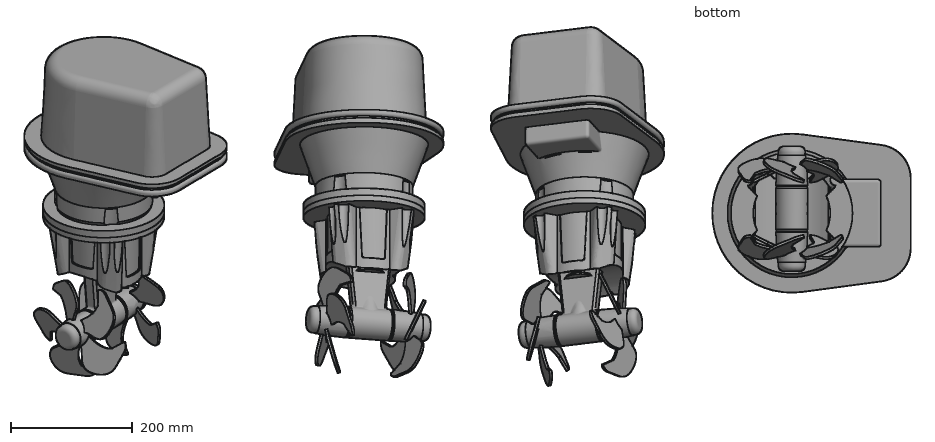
import cadquery as cq
import math


hood_top = 469.5
rim_top = 327.5
rim_bottom = 305.5
cone_bottom = 234.5
ring_top = 202.0
ring_split = 190.0
ring_bottom = 180.5

rim_length = 326.5
rim_width = 261.5
nose_radius = rim_width / 2
back_x = rim_length - nose_radius
corner_radius = 55.5
side_angle = math.radians(7.6)
hood_inset = 28.0
hood_draft = 3.0
hood_top_fillet = 20.0
rim_edge_height = 4.5
rim_fillet = 5.0

cone_top_radius = 105.5
collar_radius = 160.5 / 2
collar_chamfer_height = 5.0
collar_chamfer_width = 2.0
pod_back_x = 146.5
pod_half_width = 55.5
pod_bottom = 274.5
pod_fillet = 5.5
pod_cone_fillet = 3.0
notch_distance = 98.0
notch_bottom_radius = 22.0
notch_top_radius = 20.5
notch_top = cone_bottom - 2.0
ring_radius = 200 / 2

core_radius = 63.5
lobe_half_width = 20.0
lobe_top_reach = 92.0
lobe_bottom_reach = 75.5
lobe_top_round = 14.5
lobe_bottom_round = 12.0
lobe_bottom = 76.5
tunnel_radius = 97.0
bolt_distance = 90.5
bolt_clearance_radius = 9.0
bolt_angle = 8.0
lobe_angles = [45, 135, 225, 315]
window_depth = 3.0
window_corner_radius = 4.5

gear_y = -7.0
gear_radius = 52.0 / 2
gear_half_length = 36.5
gear_chamfer_length = 3.0
gear_chamfer_depth = 1.0
strut_half_thickness = 12.0
strut_nose_half_width = 8.0
strut_nose_length = 4.0
strut_bottom_half_length = 25.5
strut_top_half_length = 36.0
strut_top = 100.0
bulge_radius = 19.1
bulge_base = 18.0
bulge_top = 43.5
strut_fillet = 4.5
flare_bottom = 85.0
flare_top = 89.5
flare_bottom_radius = 26.5
flare_top_radius = 23.5
flare_neck_radius = 16.0

hub_start = 38.5
hub_end = 88.0
hub_end_radius = 23.0
hub_middle = 66.0
hub_middle_radius = 25.0
cap_radius = 44.5 / 2
cap_end = 103.0
cap_fillet = 9.5
neck_radius = 32.0 / 2
blade_count = 5
blade_place = 75.5
blade_pitch = 26.0
blade_thickness = 4.5
blade_tip_fillet = 1.5


def rim_outline(inset, height):
    """Closed outline of the rim, moved inward by the inset, at the given height."""
    nose = nose_radius - inset
    corner = corner_radius - inset
    back = back_x - inset
    sin_a = math.sin(side_angle)
    cos_a = math.cos(side_angle)
    corner_x = back - corner
    corner_y = (nose - corner - corner_x * sin_a) / cos_a
    half_turn = (math.pi / 2 - side_angle) / 2
    arc_middle = (corner_x + corner * math.cos(half_turn), corner_y + corner * math.sin(half_turn))
    arc_side = (corner_x + corner * sin_a, corner_y + corner * cos_a)
    return (
        cq.Workplane("XY", origin=(0, 0, height))
        .moveTo(back, -corner_y)
        .lineTo(back, corner_y)
        .threePointArc(arc_middle, arc_side)
        .lineTo(nose * sin_a, nose * cos_a)
        .threePointArc((-nose, 0), (nose * sin_a, -nose * cos_a))
        .lineTo(arc_side[0], -arc_side[1])
        .threePointArc((arc_middle[0], -arc_middle[1]), (back, -corner_y))
        .close()
    )


def cylinder(radius, bottom, top):
    """Cylinder around the motor axis."""
    return cq.Workplane("XY", origin=(0, 0, bottom)).circle(radius).extrude(top - bottom)


def cone(bottom_radius, bottom, top_radius, top, x=0, y=0):
    """Truncated cone with a vertical axis through (x, y)."""
    return cq.Workplane(
        cq.Solid.makeCone(bottom_radius, top_radius, top - bottom, pnt=cq.Vector(x, y, bottom))
    )


def make_hood():
    hood = rim_outline(hood_inset, rim_top).extrude(hood_top - rim_top, taper=hood_draft)
    return hood.faces(">Z").edges().fillet(hood_top_fillet)


def make_rim():
    """Two plates, rounded towards each other, with a recessed band between them."""
    plate_height = rim_edge_height + rim_fillet
    lower = rim_outline(0, rim_bottom).extrude(plate_height).faces(">Z").edges().fillet(rim_fillet)
    upper = rim_outline(0, rim_top - plate_height).extrude(plate_height)
    upper = upper.faces("<Z").edges().fillet(rim_fillet)
    band = rim_outline(rim_fillet, rim_bottom + rim_edge_height)
    band = band.extrude(rim_top - rim_bottom - 2 * rim_edge_height)
    return lower.union(upper).union(band)


def make_pod():
    """Box under the back of the rim, reaching into the cone."""
    pod = cq.Workplane("XY", origin=(0, 0, pod_bottom)).rect(2 * pod_back_x, 2 * pod_half_width)
    pod = pod.extrude(rim_bottom - pod_bottom)
    pod = pod.edges("|Z").fillet(pod_fillet).faces("<Z").edges().fillet(pod_fillet)
    back_half = cq.Workplane("XY").box(pod_back_x, 4 * pod_half_width, hood_top, centered=(False, True, False))
    return pod.intersect(back_half)


def make_bowl():
    """Cone under the rim with the pod rounded into it."""
    bowl = cone(collar_radius, cone_bottom, cone_top_radius, rim_bottom).union(make_pod())
    pod_joint = cq.selectors.BoxSelector(
        (collar_radius / 2, -pod_back_x, pod_bottom - pod_fillet / 2),
        (cone_top_radius - pod_fillet, pod_back_x, rim_bottom - pod_fillet),
    )
    return bowl.edges(pod_joint).fillet(pod_cone_fillet)


def make_collar():
    collar = cylinder(collar_radius, ring_top, cone_bottom)
    collar = collar.faces("<Z").chamfer(collar_chamfer_height, collar_chamfer_width)
    notch = cone(notch_bottom_radius, ring_top, notch_top_radius, notch_top, x=notch_distance)
    for angle in lobe_angles:
        collar = collar.cut(notch.rotate((0, 0, 0), (0, 0, 1), angle))
    return collar


def make_housing():
    housing = make_hood().union(make_rim())
    housing = housing.union(make_bowl()).union(make_collar())
    return housing.union(cylinder(ring_radius, ring_split, ring_top))


def lobe_section(height, reach, corner):
    """Outline of one lobe: parallel sides and an end round the motor axis, with rounded corners."""
    corner_y = lobe_half_width - corner
    corner_x = math.sqrt((reach - corner) ** 2 - corner_y**2)
    end_x = corner_x * reach / (reach - corner)
    end_y = corner_y * reach / (reach - corner)
    outline = (
        cq.Workplane("XY", origin=(0, 0, height))
        .moveTo(0, -lobe_half_width)
        .lineTo(corner_x, -lobe_half_width)
        .tangentArcPoint((end_x, -end_y), relative=False)
        .threePointArc((reach, 0), (end_x, end_y))
        .tangentArcPoint((corner_x, lobe_half_width), relative=False)
        .lineTo(0, lobe_half_width)
        .close()
    )
    return outline.val()


def make_lobe():
    """Lobe along +X, narrowing downward, with two bolt clearances that run out of it."""
    bottom_section = lobe_section(lobe_bottom, lobe_bottom_reach, lobe_bottom_round)
    top_section = lobe_section(ring_bottom, lobe_top_reach, lobe_top_round)
    lobe = cq.Workplane(cq.Solid.makeLoft([bottom_section, top_section], True))
    clearance = (
        cq.Workplane("XY", origin=(0, 0, lobe_bottom))
        .center(bolt_distance, 0)
        .circle(bolt_clearance_radius)
        .extrude(ring_bottom - lobe_bottom)
    )
    for angle in (-bolt_angle, bolt_angle):
        lobe = lobe.cut(clearance.rotate((0, 0, 0), (0, 0, 1), angle))
    return lobe


def make_window(bottom, bottom_half_width, top_half_width):
    """Shallow pocket in the +X side of the core, open at its top."""
    outline = (
        cq.Workplane("YZ")
        .moveTo(-bottom_half_width, bottom)
        .lineTo(bottom_half_width, bottom)
        .lineTo(top_half_width, ring_bottom)
        .lineTo(-top_half_width, ring_bottom)
        .close()
        .extrude(core_radius)
        .edges("|X and <Z")
        .fillet(window_corner_radius)
    )
    return outline.cut(cylinder(core_radius - window_depth, 0, ring_bottom))


def make_leg_body():
    body = cylinder(core_radius, lobe_bottom, ring_bottom)
    lobe = make_lobe()
    for angle in lobe_angles:
        body = body.union(lobe.rotate((0, 0, 0), (0, 0, 1), angle))
    side_window = make_window(94.0, 19.5, 23.5)
    end_window = make_window(113.5, 21.5, 25.5)
    for window, angle in ((side_window, 0), (end_window, 90), (side_window, 180), (end_window, 270)):
        body = body.cut(window.rotate((0, 0, 0), (0, 0, 1), angle))
    tunnel = cq.Workplane("XZ").circle(tunnel_radius).extrude(2 * ring_radius, both=True)
    return body.cut(tunnel)


def strut_section(half_length, height):
    """Strut outline: long along Y, with a narrowed flat nose at both ends."""
    shoulder = half_length - strut_nose_length
    quarter = [(strut_half_thickness, shoulder), (strut_nose_half_width, half_length)]
    points = quarter + [(-x, y) for x, y in reversed(quarter)]
    points += [(-x, -y) for x, y in points]
    return cq.Wire.makePolygon([cq.Vector(x, y + gear_y, height) for x, y in points], close=True)


def make_gear_housing():
    gear = cq.Workplane("XZ", origin=(0, gear_y + gear_half_length, 0)).circle(gear_radius)
    gear = gear.extrude(2 * gear_half_length)
    gear = gear.faces("<Y").chamfer(gear_chamfer_length, gear_chamfer_depth)
    return gear.faces(">Y").chamfer(gear_chamfer_length, gear_chamfer_depth)


def make_strut():
    """Strut with a shaft bulge, rounded into the gear housing, and a flare under the leg."""
    strut = cq.Solid.makeLoft(
        [strut_section(strut_bottom_half_length, 0), strut_section(strut_top_half_length, strut_top)], True
    )
    bulge_slope = (bulge_radius - strut_half_thickness) / (bulge_top - bulge_base)
    bulge = cone(bulge_radius + bulge_slope * bulge_base, 0, strut_half_thickness, bulge_top, y=gear_y)
    foot = cq.Workplane(strut).union(bulge).union(make_gear_housing())
    foot_joint = cq.selectors.BoxSelector(
        (-gear_radius, gear_y - strut_top_half_length, gear_radius / 2),
        (gear_radius, gear_y + strut_top_half_length, bulge_top),
    )
    foot = foot.edges(foot_joint).fillet(strut_fillet)
    flare = cone(flare_bottom_radius, flare_bottom, flare_top_radius, flare_top, y=gear_y)
    flare_neck = cylinder(flare_neck_radius, flare_top, strut_top).translate((0, gear_y, 0))
    return foot.union(flare).union(flare_neck)


def make_leg():
    flange = cylinder(ring_radius, ring_bottom, ring_split)
    return flange.union(make_leg_body()).union(make_strut())


def make_hub():
    """Neck, tapered hub and rounded cap, turned around the propeller axis."""
    cap_middle = cap_fillet * math.sqrt(0.5)
    return (
        cq.Workplane("XY")
        .moveTo(0, gear_half_length)
        .lineTo(neck_radius, gear_half_length)
        .lineTo(neck_radius, hub_start)
        .lineTo(gear_radius, hub_start)
        .threePointArc((hub_middle_radius, hub_middle), (hub_end_radius, hub_end))
        .lineTo(cap_radius, hub_end)
        .lineTo(cap_radius, cap_end - cap_fillet)
        .threePointArc(
            (cap_radius - cap_fillet + cap_middle, cap_end - cap_fillet + cap_middle),
            (cap_radius - cap_fillet, cap_end),
        )
        .lineTo(0, cap_end)
        .close()
        .revolve(360, (0, 0, 0), (0, 1, 0))
    )


def make_blade():
    """Flat sickle-shaped blade pointing up, turned about its own axis by the pitch."""
    blade = (
        cq.Workplane("XZ")
        .moveTo(-16.5, 8.5)
        .lineTo(-21.5, 18.5)
        .spline([(-27.0, 33.5), (-34.0, 43.5), (-44.0, 51.0)], includeCurrent=True)
        .lineTo(-70.0, 51.0)
        .spline(
            [(-67.0, 59.5), (-48.5, 73.5), (-25.0, 85.0), (-6.0, 80.5), (12.0, 56.5), (3.5, 33.5), (-1.0, 18.5)],
            includeCurrent=True,
        )
        .lineTo(-2.0, 8.5)
        .close()
        .extrude(blade_thickness / 2, both=True)
        .edges("|Y and <X")
        .fillet(blade_tip_fillet)
    )
    return blade.rotate((0, 0, 0), (0, 0, 1), blade_pitch).translate((0, blade_place, 0))


def make_propeller():
    """Propeller on the +Y side of a gear housing whose middle is at the origin."""
    propeller = make_hub()
    blade = make_blade()
    for i in range(blade_count):
        propeller = propeller.union(blade.rotate((0, 0, 0), (0, 1, 0), i * 360 / blade_count))
    return propeller


housing = make_housing()
leg = make_leg()
right_hand_propeller = make_propeller()
propellers = [
    propeller.translate((0, gear_y, 0))
    for propeller in (right_hand_propeller, right_hand_propeller.mirror("XZ"))
]

result = cq.Compound.makeCompound([housing.val(), leg.val(), *[propeller.val() for propeller in propellers]])